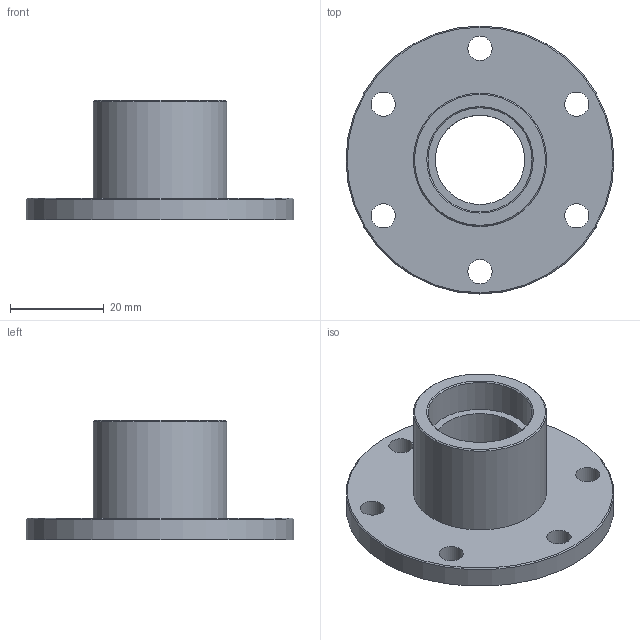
import cadquery as cq

FLANGE_DIAMETER = 57.15
FLANGE_THICKNESS = 4.572
TOTAL_HEIGHT = 25.4
HUB_DIAMETER = 28.448

BORE_DIAMETER = 19.05
COUNTERBORE_DIAMETER = 22.2
COUNTERBORE_DEPTH = 7.239

BOLT_COUNT = 6
BOLT_HOLE_DIAMETER = 5.18
BOLT_CIRCLE_DIAMETER = 47.625
FIRST_BOLT_ANGLE = 90

EDGE_CHAMFER = 0.254


def chamfered_disc(diameter, height):
    """Disc standing on Z = 0 with its top rim chamfered."""
    disc = cq.Workplane("XY").circle(diameter / 2).extrude(height)
    return disc.faces(">Z").edges().chamfer(EDGE_CHAMFER)


def stepped_bore():
    """Through bore, widened from the top and chamfered at its mouth."""
    bore = cq.Workplane("XY").circle(BORE_DIAMETER / 2).extrude(TOTAL_HEIGHT)
    counterbore = (
        cq.Workplane("XY", origin=(0, 0, TOTAL_HEIGHT - COUNTERBORE_DEPTH))
        .circle(COUNTERBORE_DIAMETER / 2)
        .extrude(COUNTERBORE_DEPTH)
    )
    mouth = cq.Workplane(
        cq.Solid.makeCone(
            COUNTERBORE_DIAMETER / 2,
            COUNTERBORE_DIAMETER / 2 + EDGE_CHAMFER,
            EDGE_CHAMFER,
            pnt=cq.Vector(0, 0, TOTAL_HEIGHT - EDGE_CHAMFER),
        )
    )
    return bore.union(counterbore).union(mouth)


def bolt_holes():
    """Ring of plain through holes in the flange."""
    return (
        cq.Workplane("XY")
        .polarArray(BOLT_CIRCLE_DIAMETER / 2, FIRST_BOLT_ANGLE, 360, BOLT_COUNT)
        .circle(BOLT_HOLE_DIAMETER / 2)
        .extrude(FLANGE_THICKNESS)
    )


flange = chamfered_disc(FLANGE_DIAMETER, FLANGE_THICKNESS)
hub = chamfered_disc(HUB_DIAMETER, TOTAL_HEIGHT)
result = flange.union(hub).cut(stepped_bore()).cut(bolt_holes())